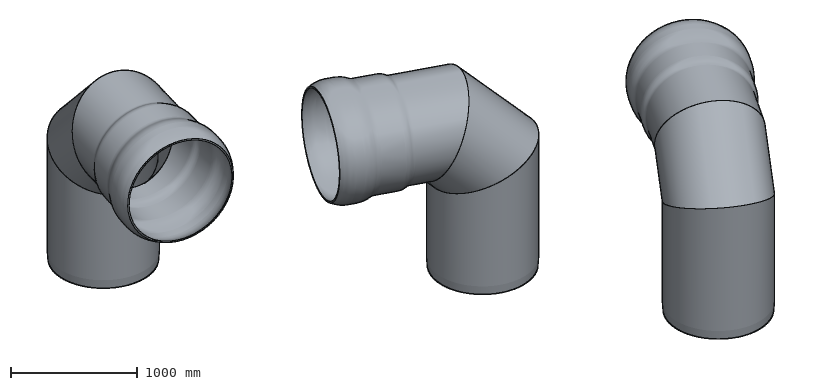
import cadquery as cq
import math


total_length = 1795.0
total_height = 1907.0
bell_dia = 1012.0

pipe_radius = 888.0 / 2
wall = 12.0
bore_radius = pipe_radius - wall
joint_offset = 353.0
bend_angle = 45.0
mitre_angle = bend_angle / 2

spigot_length = 78.0
spigot_tip_radius = 877.0 / 2

sleeve_radius = 942.0 / 2
bell_radius = bell_dia / 2

flare_start = 646.0
sleeve_start = 553.0
sleeve_end = 353.0
bell_start = 202.0
bell_end = 130.0
lip_start = 30.0
flare_turn = 610.0
bell_turn = 301.0

axis_x = pipe_radius - total_length / 2
end_x = total_length / 2
axis_z = total_height - bell_dia / 2

mitre_slope = math.tan(math.radians(mitre_angle))
mitre_rise = pipe_radius * mitre_slope
bend_reach = joint_offset / (1 - mitre_slope)
bend_x = axis_x + bend_reach
bend_z = axis_z - bend_reach
low_joint_angle = 180 - mitre_angle
high_joint_angle = 90 + mitre_angle


def bend_wedge(start_angle, end_angle):
    """Wedge opening from the line where the joint planes meet, reaching past the whole bend.

    Angles are in degrees, anticlockwise from +X towards +Z.
    """
    side = 2 * total_height
    outline = [(bend_x, bend_z)]
    for angle in (start_angle, end_angle):
        direction = math.radians(angle)
        outline.append((bend_x + side * math.cos(direction), bend_z + side * math.sin(direction)))
    return cq.Workplane("XZ").polyline(outline).close().extrude(total_height, both=True)


def make_vertical_leg():
    """Upright pipe with a tapered lower tip, mitred at the top."""
    top = axis_z - joint_offset + mitre_rise
    outline = [
        (bore_radius, 0),
        (spigot_tip_radius, 0),
        (pipe_radius, spigot_length),
        (pipe_radius, top),
        (bore_radius, top),
    ]
    tube = cq.Workplane("XZ").polyline(outline).close().revolve(360, (0, 0), (0, 1))
    beyond_joint = bend_wedge(high_joint_angle - bend_angle, low_joint_angle)
    return tube.translate((axis_x, 0, 0)).cut(beyond_joint)


def make_middle_piece():
    """Diagonal pipe through the centres of both joints, mitred at both ends."""
    joint_spacing = math.hypot(joint_offset, joint_offset)
    half_length = joint_spacing / 2 + 2 * mitre_rise
    middle = cq.Plane(
        origin=(axis_x + joint_offset / 2, 0, axis_z - joint_offset / 2),
        xDir=(0, 1, 0),
        normal=(1, 0, 1),
    )
    tube = cq.Workplane(middle).circle(pipe_radius).circle(bore_radius).extrude(half_length, both=True)
    return tube.intersect(bend_wedge(high_joint_angle, low_joint_angle))


def socket_solid(inset):
    """Solid of revolution inside the socket leg's outer skin moved inward by inset."""
    flare_slope = (sleeve_radius - pipe_radius) / (flare_start - sleeve_start)
    bell_slope = (bell_radius - sleeve_radius) / (sleeve_end - bell_start)
    flare_tilt = 2 * math.atan(flare_slope)
    bell_tilt = 2 * math.atan(bell_slope)
    flare_turn_radius = pipe_radius + flare_slope * (flare_start - flare_turn)
    bell_turn_radius = sleeve_radius + bell_slope * (sleeve_end - bell_turn)

    bell_curve = (bell_turn - bell_start) / math.sin(bell_tilt)
    lip_tilt = math.asin((bell_end - lip_start) / bell_curve)
    lip_radius = bell_radius - bell_curve * (1 - math.cos(lip_tilt))
    mouth_radius = lip_radius - lip_start * math.tan(lip_tilt)

    def skin(distance, radius, tilt=0.0):
        """Point on the skin, moved inward at right angles to it."""
        return (end_x - distance + inset * math.sin(tilt), axis_z + radius - inset * math.cos(tilt))

    leg_start = axis_x + joint_offset - mitre_rise
    return (
        cq.Workplane("XZ")
        .moveTo(leg_start, axis_z)
        .lineTo(leg_start, axis_z + pipe_radius - inset)
        .lineTo(*skin(flare_start, pipe_radius))
        .tangentArcPoint(skin(flare_turn, flare_turn_radius, flare_tilt), relative=False)
        .tangentArcPoint(skin(sleeve_start, sleeve_radius), relative=False)
        .lineTo(*skin(sleeve_end, sleeve_radius))
        .tangentArcPoint(skin(bell_turn, bell_turn_radius, bell_tilt), relative=False)
        .tangentArcPoint(skin(bell_start, bell_radius), relative=False)
        .lineTo(*skin(bell_end, bell_radius))
        .tangentArcPoint(skin(lip_start, lip_radius, -lip_tilt), relative=False)
        .lineTo(end_x, axis_z + mouth_radius - inset / math.cos(lip_tilt))
        .lineTo(end_x, axis_z)
        .close()
        .revolve(360, (0, axis_z), (1, axis_z))
    )


def make_socket_leg():
    """Horizontal pipe with the socket at its open end, mitred at the bend."""
    beyond_joint = bend_wedge(high_joint_angle, low_joint_angle + bend_angle)
    return socket_solid(0).cut(socket_solid(wall)).cut(beyond_joint)


vertical_leg = make_vertical_leg().solids()
middle_piece = make_middle_piece().solids()
socket_leg = make_socket_leg().solids()

result = cq.Compound.makeCompound([vertical_leg.val(), middle_piece.val(), socket_leg.val()])